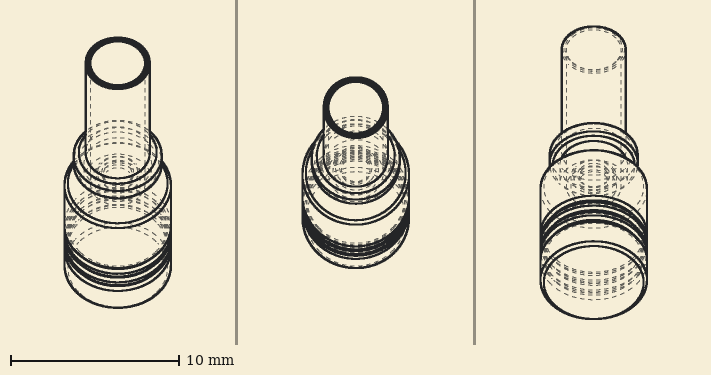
import cadquery as cq

total_height = 20.35
body_height = 8.35
neck_height = 1.83
flange_height = 1.22

body_radius = 3.17
neck_radius = 2.01
flange_radius = 2.63
tube_radius = 1.91

body_chamfer = 0.2
neck_fillet = 0.3
flange_top_chamfer = 0.3
flange_bottom_chamfer = 0.18
tube_chamfer = 0.08

groove_count = 3
groove_pitch = 0.85
first_groove_height = 2.18
groove_depth = 0.25
groove_floor_width = 0.28
groove_flank_height = 0.15

bore_radius = 1.63
bore_chamfer = 0.08
post_radius = 1.36
post_height = 1.02
post_chamfer = 0.16
socket_radius = 0.85
socket_depth = 0.61
socket_chamfer = 0.1

flange_bottom = body_height + neck_height
flange_top = flange_bottom + flange_height
bore_floor = body_height
post_top = bore_floor + post_height

inner_edge = cq.selectors.RadiusNthSelector(0)


def cylinder(radius, bottom, top):
    """Cylinder on the Z axis between two heights."""
    return cq.Workplane("XY").workplane(offset=bottom).circle(radius).extrude(top - bottom)


def revolve_about_z(profile):
    """Full turn about Z of a closed outline drawn in the XZ plane."""
    return profile.close().revolve(360, (0, 0, 0), (0, 1, 0))


def make_body():
    return cylinder(body_radius, 0, body_height).faces("<Z or >Z").chamfer(body_chamfer)


def make_neck():
    """Neck that flares into the body through a concave fillet."""
    profile = (
        cq.Workplane("XZ")
        .moveTo(0, body_height)
        .lineTo(neck_radius + neck_fillet, body_height)
        .radiusArc((neck_radius, body_height + neck_fillet), neck_fillet)
        .lineTo(neck_radius, flange_bottom)
        .lineTo(0, flange_bottom)
    )
    return revolve_about_z(profile)


def make_flange():
    flange = cylinder(flange_radius, flange_bottom, flange_top)
    flange = flange.faces(">Z").chamfer(flange_top_chamfer)
    return flange.faces("<Z").chamfer(flange_bottom_chamfer)


def make_tube():
    return cylinder(tube_radius, flange_top, total_height).faces(">Z").chamfer(tube_chamfer)


def make_groove(center_height):
    """Ring cutter with a flat floor and sloped flanks."""
    floor_radius = body_radius - groove_depth
    half_floor = groove_floor_width / 2
    half_mouth = half_floor + groove_flank_height
    profile = (
        cq.Workplane("XZ")
        .moveTo(floor_radius, center_height - half_floor)
        .lineTo(body_radius, center_height - half_mouth)
        .lineTo(body_radius, center_height + half_mouth)
        .lineTo(floor_radius, center_height + half_floor)
    )
    return revolve_about_z(profile)


def make_post():
    """Post with a chamfered rim and a blind socket in its top."""
    post = cylinder(post_radius, bore_floor, post_top).faces(">Z").chamfer(post_chamfer)
    post = post.cut(cylinder(socket_radius, post_top - socket_depth, post_top))
    return post.faces(">Z").edges(inner_edge).chamfer(socket_chamfer)


result = make_body().union(make_neck()).union(make_flange()).union(make_tube())

for index in range(groove_count):
    result = result.cut(make_groove(first_groove_height + index * groove_pitch))

result = result.cut(cylinder(bore_radius, bore_floor, total_height))
result = result.faces(">Z").edges(inner_edge).chamfer(bore_chamfer)
result = result.union(make_post())